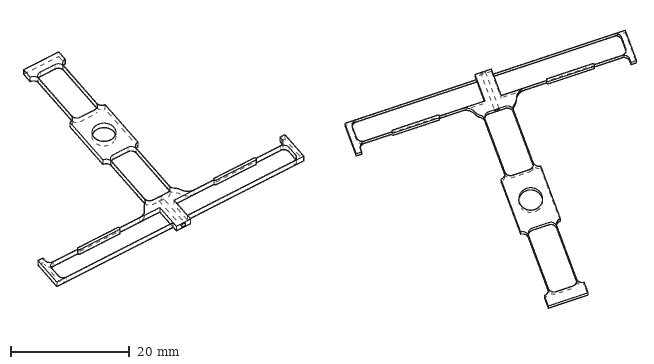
import cadquery as cq
import math

thickness = 1.2
flexure_width = 0.05
fillet_radius = 1.0

end_block_length = 2.0
stem_flexure_length = 12.0
platform_length = 10.0
platform_hole_diameter = 4.0
stem_gap = 5.0
stem_flexure_inner = stem_gap / 2
stem_flexure_outer = stem_flexure_inner + flexure_width
block_half_width = stem_flexure_outer + fillet_radius
platform_start = end_block_length + stem_flexure_length
platform_end = platform_start + platform_length

hub_start = platform_end + stem_flexure_length
hub_fillet_radius = 2.0
shoulder_radius = 2.0
tab_length = 5.0
tab_width = 2.9
wire_hole_diameter = 0.8

crossbar_length = 50.0
crossbar_gap = 4.0
end_bar_width = 1.0
end_bar_overhang = 1.65
inner_beam_x = hub_start + hub_fillet_radius
hub_end = inner_beam_x + flexure_width
outer_beam_x = hub_end + crossbar_gap
crossbar_end_x = outer_beam_x + flexure_width
tab_end = hub_end + tab_length
end_bar_inner_y = crossbar_length / 2 - end_bar_width

stiffener_start_y = 9.55
stiffener_length = 8.5
stiffener_projection = 0.25


def plate(x_start, x_end, y_start, y_end):
    """Full-thickness rectangular plate between two X and two Y limits."""
    return cq.Workplane("XY").box(
        x_end - x_start, y_end - y_start, thickness, centered=False
    ).translate((x_start, y_start, 0))


def corner_fillet(x, y, x_side, y_side, radius=fillet_radius):
    """Concave fillet in the corner (x, y), opening toward the given X and Y signs."""
    inset = radius * (1 - math.sqrt(0.5))
    return (
        cq.Workplane("XY")
        .moveTo(x, y)
        .lineTo(x + x_side * radius, y)
        .threePointArc((x + x_side * inset, y + y_side * inset), (x, y + y_side * radius))
        .close()
        .extrude(thickness)
    )


def stem_half():
    """Flexures on the +Y side of the stem, with fillets at their roots; the hub adds its own."""
    parts = []
    for x_start in (end_block_length, platform_end):
        x_end = x_start + stem_flexure_length
        parts.append(plate(x_start, x_end, stem_flexure_inner, stem_flexure_outer))
        for x, x_side in ((x_start, 1), (x_end, -1)):
            parts.append(corner_fillet(x, stem_flexure_inner, x_side, -1))
            if x != hub_start:
                parts.append(corner_fillet(x, stem_flexure_outer, x_side, 1))
    return parts


def stiffener():
    """Thickened stretch of the inner crossbar flexure with rounded corners."""
    width = flexure_width + 2 * stiffener_projection
    return (
        plate(0, width, 0, stiffener_length)
        .edges("|Z")
        .fillet(stiffener_projection)
        .translate((inner_beam_x - stiffener_projection, stiffener_start_y, 0))
    )


def hub_half():
    """Solid on the +Y side of the hub: a convex shoulder between two concave fillets.

    The shoulder circle touches both fillet circles from outside, so its centre
    is found by intersecting two circles drawn about the fillet centres.
    """
    stem_x = hub_start - fillet_radius
    beam_x = inner_beam_x - hub_fillet_radius
    beam_y = block_half_width + hub_fillet_radius
    stem_reach = fillet_radius + shoulder_radius
    beam_reach = hub_fillet_radius + shoulder_radius

    run = beam_x - stem_x
    rise = beam_y - block_half_width
    spacing = math.hypot(run, rise)
    along = (stem_reach**2 - beam_reach**2 + spacing**2) / (2 * spacing)
    across = math.sqrt(stem_reach**2 - along**2)
    shoulder_x = stem_x + (along * run + across * rise) / spacing
    shoulder_y = block_half_width + (along * rise - across * run) / spacing

    stem_angle = math.atan2(shoulder_y - block_half_width, shoulder_x - stem_x)
    beam_angle = math.atan2(shoulder_y - beam_y, shoulder_x - beam_x)
    shoulder_angle = (stem_angle + beam_angle) / 2 + math.pi

    def on_circle(x, y, radius, angle):
        return (x + radius * math.cos(angle), y + radius * math.sin(angle))

    stem_circle = (stem_x, block_half_width, fillet_radius)
    beam_circle = (beam_x, beam_y, hub_fillet_radius)
    return (
        cq.Workplane("XY")
        .moveTo(stem_x, stem_flexure_outer)
        .threePointArc(
            on_circle(*stem_circle, (stem_angle - math.pi / 2) / 2),
            on_circle(*stem_circle, stem_angle),
        )
        .threePointArc(
            on_circle(shoulder_x, shoulder_y, shoulder_radius, shoulder_angle),
            on_circle(*beam_circle, beam_angle),
        )
        .threePointArc(on_circle(*beam_circle, beam_angle / 2), (inner_beam_x, beam_y))
        .lineTo(hub_end, beam_y)
        .lineTo(hub_end, 0)
        .lineTo(hub_start, 0)
        .lineTo(hub_start, stem_flexure_outer)
        .close()
        .extrude(thickness)
    )


def crossbar_half():
    """End bar, two flexures and stiffener on the +Y side of the crossbar."""
    return [
        plate(inner_beam_x - end_bar_overhang, crossbar_end_x, end_bar_inner_y, crossbar_length / 2),
        plate(inner_beam_x, hub_end, 0, end_bar_inner_y),
        plate(outer_beam_x, crossbar_end_x, 0, end_bar_inner_y),
        corner_fillet(inner_beam_x, end_bar_inner_y, -1, -1),
        corner_fillet(hub_end, end_bar_inner_y, 1, -1),
        corner_fillet(outer_beam_x, end_bar_inner_y, -1, -1),
        stiffener(),
    ]


body = plate(0, end_block_length, -block_half_width, block_half_width)
body = body.union(plate(platform_start, platform_end, -block_half_width, block_half_width))
body = body.union(plate(hub_start, tab_end, -tab_width / 2, tab_width / 2))

for half_part in stem_half() + [hub_half()] + crossbar_half():
    body = body.union(half_part).union(half_part.mirror("XZ"))

platform_hole = (
    cq.Workplane("XY")
    .center((platform_start + platform_end) / 2, 0)
    .circle(platform_hole_diameter / 2)
    .extrude(thickness)
)

wire_hole = (
    cq.Workplane("YZ", origin=(hub_start, 0, thickness / 2))
    .circle(wire_hole_diameter / 2)
    .extrude(tab_end - hub_start)
)

result = body.cut(platform_hole).cut(wire_hole)